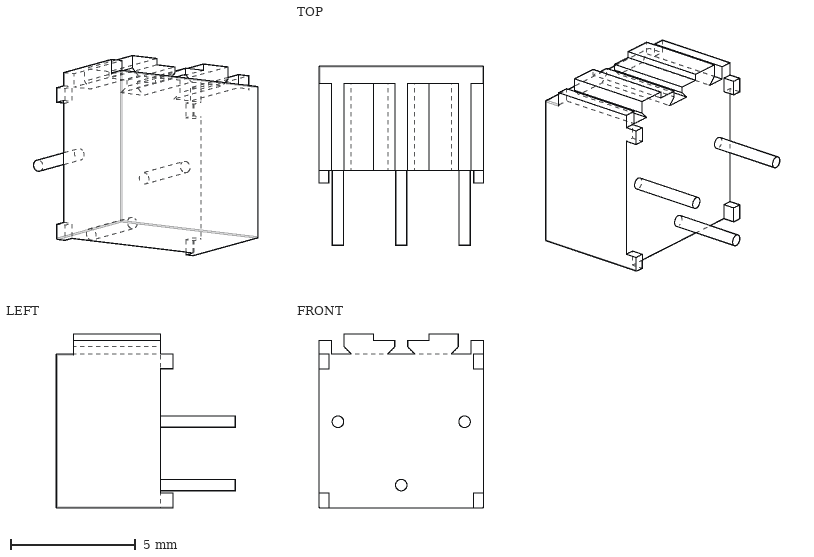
import cadquery as cq


width = 6.6
depth = 4.2
overall_depth = 7.2
total_height = 6.99
rail_height = 0.8
block_height = total_height - rail_height
half_width = width / 2
edge_radius = 0.05

strip_length = 3.5
ear_width = 0.505
ear_height = 0.54

rail_inner = 0.25
rail_step = 1.11
rail_outer = 2.3
undercut = 0.29

foot_width = 0.395
foot_length = 0.505
upper_foot_height = 0.6
lower_foot_height = 0.62

pin_diameter = 0.46
pin_length = overall_depth - depth
pin_pitch = 2.54
lower_pin_height = 0.93
upper_pin_height = lower_pin_height + pin_pitch
pin_places = [
    (-pin_pitch, upper_pin_height),
    (0, lower_pin_height),
    (pin_pitch, upper_pin_height),
]


def make_box(x_min, x_max, y_min, y_max, z_min, z_max):
    """Box between two opposite corners."""
    size = (x_max - x_min, y_max - y_min, z_max - z_min)
    return cq.Workplane("XY").box(*size, centered=False).translate((x_min, y_min, z_min))


def on_both_sides(shape):
    """The shape together with its mirror image across the centre plane."""
    return shape.union(shape.mirror("YZ"))


def make_block():
    """Block with its lower feet, rounded around the back rim and along its long edges."""
    block = make_box(-half_width, half_width, -foot_length, depth, 0, block_height)
    block = block.edges("|Y or >Y").fillet(edge_radius)

    foot_inner = half_width - foot_width
    above_feet = make_box(-half_width, half_width, -foot_length, 0, lower_foot_height, block_height)
    between_feet = make_box(-foot_inner, foot_inner, -foot_length, 0, 0, lower_foot_height)
    return block.cut(above_feet).cut(between_feet)


def make_ears():
    """Square strips along the outer sides, filling the rounded corners under them."""
    ear = make_box(
        half_width - ear_width, half_width,
        0, strip_length,
        block_height - edge_radius, block_height + ear_height,
    )
    return on_both_sides(ear)


def make_upper_feet():
    """Sharp-cornered feet level with the top of the block."""
    foot = make_box(
        half_width - foot_width, half_width,
        -foot_length, 0,
        block_height - upper_foot_height, block_height,
    )
    return on_both_sides(foot)


def make_rails():
    """Stepped rails with 45-degree undercuts along both lower edges."""
    rail_outline = [
        (rail_inner + undercut, block_height),
        (rail_inner, block_height + undercut),
        (rail_inner, block_height + ear_height),
        (rail_step, block_height + ear_height),
        (rail_step, total_height),
        (rail_outer, total_height),
        (rail_outer, block_height + undercut),
        (rail_outer - undercut, block_height),
    ]
    rail = cq.Workplane("XZ").polyline(rail_outline).close().extrude(-strip_length)
    return on_both_sides(rail)


def make_housing():
    """Block with its ears, feet and rails joined into one body."""
    return make_block().union(make_ears()).union(make_upper_feet()).union(make_rails())


def make_pin(x, z):
    """Round pin standing on the pin face."""
    return cq.Workplane("XZ").center(x, z).circle(pin_diameter / 2).extrude(pin_length)


housing = make_housing()
pins = [make_pin(x, z) for x, z in pin_places]

result = cq.Compound.makeCompound([housing.val(), *[pin.val() for pin in pins]])